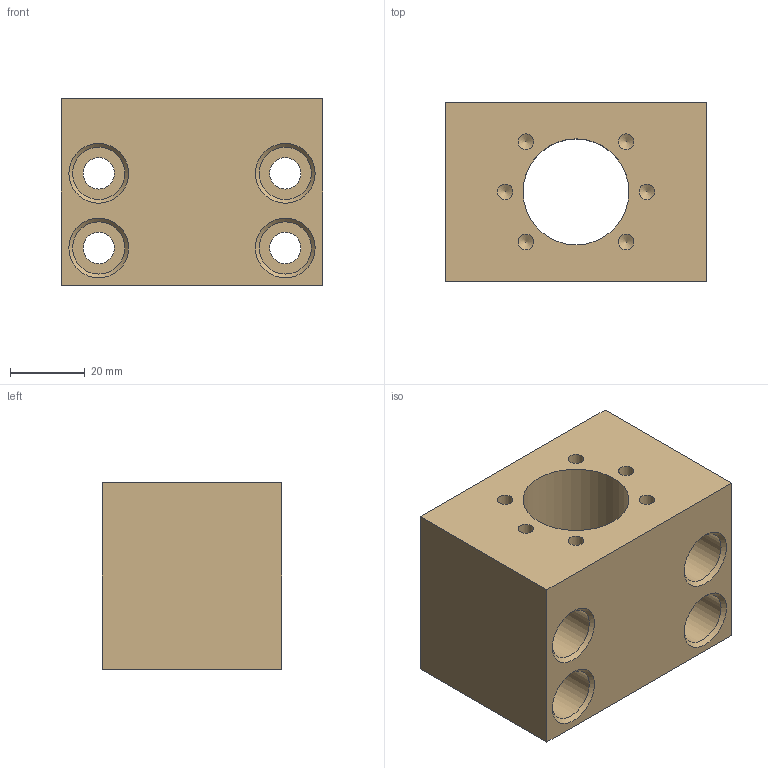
import cadquery as cq
import math

LENGTH = 70.0
DEPTH = 48.0
HEIGHT = 50.0

BORE_DIAMETER = 28.4

SCREW_CIRCLE_RADIUS = 19.0
SCREW_ANGLES = (-45, 0, 45, 135, 180, 225)
SCREW_DIAMETER = 4.2
SCREW_DEPTH = 12.0
DRILL_TIP_ANGLE = 118.0

MOUNT_SPACING_X = 50.0
MOUNT_HEIGHTS = (10.0, 30.0)
MOUNT_DIAMETER = 8.4
COUNTERBORE_DIAMETER = 14.0
COUNTERBORE_DEPTH = 15.0
COUNTERBORE_CHAMFER = 1.0

FRONT_Y = -DEPTH / 2


def make_block():
    return cq.Workplane("XY").box(LENGTH, DEPTH, HEIGHT, centered=(True, True, False))


def make_bore():
    return cq.Workplane("XY").circle(BORE_DIAMETER / 2).extrude(HEIGHT)


def make_screw_hole(angle):
    """Blind drilled hole in the top face, with a conical bottom."""
    radius = SCREW_DIAMETER / 2
    floor_z = HEIGHT - SCREW_DEPTH
    tip_length = radius / math.tan(math.radians(DRILL_TIP_ANGLE / 2))
    profile = (
        cq.Workplane("XZ")
        .moveTo(0, HEIGHT)
        .lineTo(radius, HEIGHT)
        .lineTo(radius, floor_z)
        .lineTo(0, floor_z - tip_length)
        .close()
    )
    drill = profile.revolve(360, (0, 0), (0, 1))
    return drill.translate((SCREW_CIRCLE_RADIUS, 0, 0)).rotate((0, 0, 0), (0, 0, 1), angle)


def make_mounting_hole(x, z):
    """Through hole along Y with a chamfered counterbore in the front face."""
    clearance_radius = MOUNT_DIAMETER / 2
    head_radius = COUNTERBORE_DIAMETER / 2
    shoulder_y = FRONT_Y + COUNTERBORE_DEPTH
    profile = (
        cq.Workplane("XY")
        .moveTo(0, FRONT_Y)
        .lineTo(head_radius + COUNTERBORE_CHAMFER, FRONT_Y)
        .lineTo(head_radius, FRONT_Y + COUNTERBORE_CHAMFER)
        .lineTo(head_radius, shoulder_y)
        .lineTo(clearance_radius, shoulder_y)
        .lineTo(clearance_radius, DEPTH / 2)
        .lineTo(0, DEPTH / 2)
        .close()
    )
    return profile.revolve(360, (0, 0), (0, 1)).translate((x, 0, z))


result = make_block().cut(make_bore())

for screw_angle in SCREW_ANGLES:
    result = result.cut(make_screw_hole(screw_angle))

for mount_x in (-MOUNT_SPACING_X / 2, MOUNT_SPACING_X / 2):
    for mount_z in MOUNT_HEIGHTS:
        result = result.cut(make_mounting_hole(mount_x, mount_z))